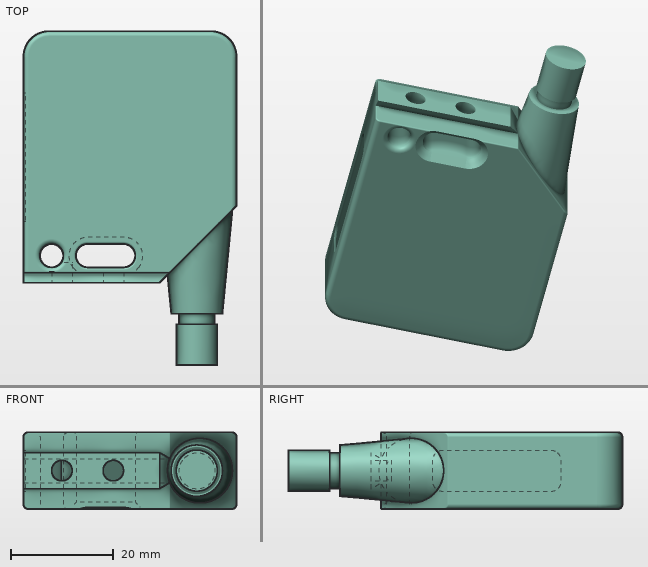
import cadquery as cq
import math

WIDTH = 41.5
DEPTH = 47.0
HEIGHT = 15.0
CORNER_RADIUS = 5.0
RIM_FILLET = 1.0
CUT_CORNER = 13.0
FRONT_FILLET = 0.25

RAIL_DEPTH = 2.0
RAIL_OUTER_HEIGHT = 7.0
RAIL_FLANK_ANGLE = 30.0

MOUNT_Y = 3.3
HOLE_X = 5.5
HOLE_DIAMETER = 4.5
HOLE_RIM_FILLET = 1.0
SLOT_X = 16.0
SLOT_SPACING = 7.0
SLOT_WIDTH = 4.5
SLOT_RIM_FILLET = 0.5
SLOT_BOTTOM_CHAMFER = 1.4

RAIL_HOLE_X = (7.5, 17.5)
RAIL_HOLE_DIAMETER = 4.0
RAIL_HOLE_DEPTH = 4.0

PANEL_LENGTH = 25.0
PANEL_HEIGHT = 8.0
PANEL_RADIUS = 2.0
PANEL_DEPTH = 0.4
PANEL_CENTER_Y = DEPTH - 24.5

CABLE_X = 33.75
CABLE_RADIUS = 4.0
CABLE_END_Y = -18.0
NECK_RADIUS = 3.5
NECK_LENGTH = 2.0
CABLE_LENGTH = 8.0
SLEEVE_END_RADIUS = 5.0
SLEEVE_TAPER = 5.5
SLEEVE_ROOT_Y = CUT_CORNER + 2.0

TOP_Z = HEIGHT / 2
EDGE_MARGIN = 0.1


def make_housing():
    body = (
        cq.Workplane("XY", origin=(0, 0, -TOP_Z))
        .rect(WIDTH, DEPTH, centered=False)
        .extrude(HEIGHT)
        .edges("|Z and >Y")
        .fillet(CORNER_RADIUS)
    )
    body = body.faces("<Z or >Z").edges("not <Y").fillet(RIM_FILLET)
    return cut_front_corner(body).faces("<Y or >(1,-1,0)").edges().fillet(FRONT_FILLET)


def cut_front_corner(body):
    """Remove everything beyond the 45 degree plane, including what lies ahead of the front face."""
    reach = CUT_CORNER + RAIL_DEPTH
    waste = (
        cq.Workplane("XY", origin=(0, 0, -TOP_Z))
        .moveTo(WIDTH, CUT_CORNER)
        .lineTo(WIDTH, -RAIL_DEPTH)
        .lineTo(WIDTH - reach, -RAIL_DEPTH)
        .close()
        .extrude(HEIGHT)
    )
    return body.cut(waste)


def make_rail():
    """Dovetail bar, rooted inside the housing and trimmed by the cut corner."""
    outer = RAIL_OUTER_HEIGHT / 2
    inner = outer - RAIL_DEPTH * math.tan(math.radians(RAIL_FLANK_ANGLE))
    root_y = 2 * FRONT_FILLET
    bar = (
        cq.Workplane("YZ")
        .polyline([
            (-RAIL_DEPTH, outer),
            (0, inner),
            (root_y, inner),
            (root_y, -inner),
            (0, -inner),
            (-RAIL_DEPTH, -outer),
        ])
        .close()
        .extrude(WIDTH)
    )
    return cut_front_corner(bar)


def make_cable():
    neck_y = CABLE_END_Y + CABLE_LENGTH
    sleeve_y = neck_y + NECK_LENGTH
    root_radius = SLEEVE_END_RADIUS + (SLEEVE_ROOT_Y - sleeve_y) * math.tan(math.radians(SLEEVE_TAPER))
    sleeve = (
        cq.Workplane("XY", origin=(CABLE_X, 0, 0))
        .moveTo(0, CABLE_END_Y)
        .lineTo(CABLE_RADIUS, CABLE_END_Y)
        .lineTo(CABLE_RADIUS, neck_y)
        .lineTo(NECK_RADIUS, neck_y)
        .lineTo(NECK_RADIUS, sleeve_y)
        .lineTo(SLEEVE_END_RADIUS, sleeve_y)
        .lineTo(root_radius, SLEEVE_ROOT_Y)
        .lineTo(0, SLEEVE_ROOT_Y)
        .close()
        .revolve(360, (0, 0, 0), (0, 1, 0))
    )
    behind_cut = (
        cq.Workplane("XY", origin=(0, 0, -TOP_Z))
        .moveTo(WIDTH + CUT_CORNER, 2 * CUT_CORNER)
        .lineTo(WIDTH - 2 * CUT_CORNER, 2 * CUT_CORNER)
        .lineTo(WIDTH - 2 * CUT_CORNER, -CUT_CORNER)
        .close()
        .extrude(HEIGHT)
    )
    return sleeve.cut(behind_cut)


def mounting_hole():
    """Round through hole with both rims rounded outward, as a cutting tool."""
    radius = HOLE_DIAMETER / 2
    rim_radius = radius + HOLE_RIM_FILLET
    straight = TOP_Z - HOLE_RIM_FILLET
    bend = HOLE_RIM_FILLET * (1 - math.sqrt(0.5))
    return (
        cq.Workplane("XZ", origin=(HOLE_X, MOUNT_Y, 0))
        .moveTo(0, -TOP_Z)
        .lineTo(rim_radius, -TOP_Z)
        .threePointArc((radius + bend, -TOP_Z + bend), (radius, -straight))
        .lineTo(radius, straight)
        .threePointArc((radius + bend, TOP_Z - bend), (rim_radius, TOP_Z))
        .lineTo(0, TOP_Z)
        .close()
        .revolve(360, (0, 0, 0), (0, 1, 0))
    )


def slot_outline(level, width):
    """Workplane with the slot contour of the given width at the given height."""
    return cq.Workplane("XY", origin=(SLOT_X, MOUNT_Y, level)).slot2D(SLOT_SPACING + width, width)


def cut_slot(body):
    """Through slot with a rounded top rim and a wider bevelled bottom mouth."""
    mouth_width = SLOT_WIDTH + 2 * SLOT_BOTTOM_CHAMFER
    body = body.cut(slot_outline(-TOP_Z, SLOT_WIDTH).extrude(HEIGHT))
    half_length = (SLOT_SPACING + SLOT_WIDTH) / 2
    top_rim = cq.selectors.BoxSelector(
        (SLOT_X - half_length, MOUNT_Y - SLOT_WIDTH / 2 - EDGE_MARGIN, TOP_Z - EDGE_MARGIN),
        (SLOT_X + half_length, MOUNT_Y + SLOT_WIDTH / 2 + EDGE_MARGIN, TOP_Z + EDGE_MARGIN),
    )
    body = body.edges(top_rim).fillet(SLOT_RIM_FILLET)
    return body.cut(slot_outline(-TOP_Z, mouth_width).extrude(SLOT_BOTTOM_CHAMFER, taper=45))


def rail_holes():
    return (
        cq.Workplane("XZ", origin=(0, -RAIL_DEPTH, 0))
        .pushPoints([(x, 0) for x in RAIL_HOLE_X])
        .circle(RAIL_HOLE_DIAMETER / 2)
        .extrude(-RAIL_HOLE_DEPTH)
    )


def side_panel():
    return (
        cq.Workplane("YZ", origin=(0, PANEL_CENTER_Y, 0))
        .rect(PANEL_LENGTH, PANEL_HEIGHT)
        .extrude(PANEL_DEPTH)
        .edges("|X")
        .fillet(PANEL_RADIUS)
    )


part = cut_slot(make_housing())
part = part.union(make_rail()).union(make_cable())
for cutter in (mounting_hole(), rail_holes(), side_panel()):
    part = part.cut(cutter)

result = part